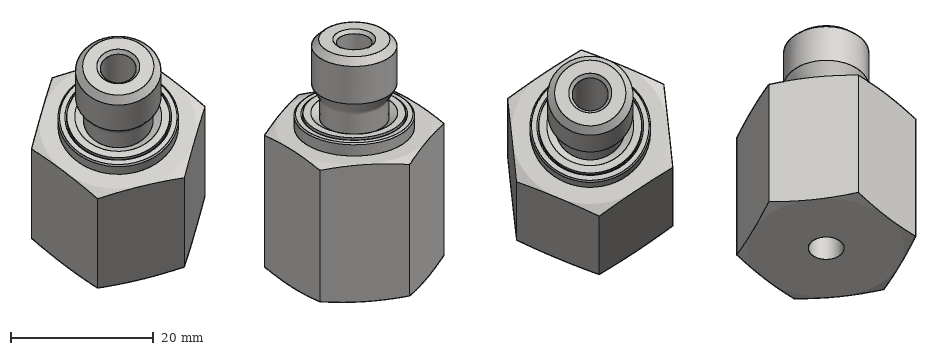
import cadquery as cq
import math

TOTAL_HEIGHT = 36.0
HEX_HEIGHT = 22.0
COLLAR_HEIGHT = 2.0
collar_top = HEX_HEIGHT + COLLAR_HEIGHT

HEX_FLATS = 22.0
HEX_CHAMFER_ANGLE = 15.0
hex_flat_radius = HEX_FLATS / 2
hex_corner_radius = hex_flat_radius / math.cos(math.radians(30))
hex_corner_drop = (hex_corner_radius - hex_flat_radius) * math.tan(math.radians(HEX_CHAMFER_ANGLE))

COLLAR_DIAMETER = 16.9
RECESS_DIAMETER = 14.5
COLLAR_CHAMFER = 0.2
collar_radius = COLLAR_DIAMETER / 2
recess_radius = RECESS_DIAMETER / 2
recess_floor = HEX_HEIGHT

HEAD_DIAMETER = 12.0
HEAD_CHAMFER = 1.0
HEAD_BOTTOM = 28.95
NECK_DIAMETER = 9.7
NECK_TOP = 26.6
UNDERCUT_DIAMETER = 10.08
UNDERCUT_TOP = 27.25
head_radius = HEAD_DIAMETER / 2
neck_radius = NECK_DIAMETER / 2
undercut_radius = UNDERCUT_DIAMETER / 2

BORE_DIAMETER = 5.0
BORE_CHAMFER = 0.5
bore_radius = BORE_DIAMETER / 2

SEAL_DIAMETER = 14.4
SEAL_BORE_DIAMETER = 9.8
SEAL_MOUTH_DIAMETER = 12.15
SEAL_PROUD = 0.2
SEAL_CONE_DEPTH = 0.75
seal_radius = SEAL_DIAMETER / 2
seal_bore_radius = SEAL_BORE_DIAMETER / 2
seal_mouth_radius = SEAL_MOUTH_DIAMETER / 2
seal_top = collar_top + SEAL_PROUD
seal_cone_bottom = seal_top - SEAL_CONE_DEPTH


def revolve_profile(profile):
    """Turn a closed (radius, height) profile about the Z axis."""
    return profile.close().revolve(360, (0, 0, 0), (0, 1, 0))


def make_hex_base():
    """Hexagonal prism with conical chamfers on the corners of both ends."""
    prism = (
        cq.Workplane("XY")
        .polygon(6, 2 * hex_corner_radius)
        .extrude(HEX_HEIGHT)
        .rotate((0, 0, 0), (0, 0, 1), 30)
    )
    corner_envelope = revolve_profile(
        cq.Workplane("XZ")
        .moveTo(0, 0)
        .lineTo(hex_flat_radius, 0)
        .lineTo(hex_corner_radius, hex_corner_drop)
        .lineTo(hex_corner_radius, HEX_HEIGHT - hex_corner_drop)
        .lineTo(hex_flat_radius, HEX_HEIGHT)
        .lineTo(0, HEX_HEIGHT)
    )
    return prism.intersect(corner_envelope)


def make_turned_end():
    """Collar, seal recess, neck, undercut and threaded head in one profile."""
    neck_fillet_end = (undercut_radius, UNDERCUT_TOP)
    return revolve_profile(
        cq.Workplane("XZ")
        .moveTo(0, 0)
        .lineTo(collar_radius, 0)
        .lineTo(collar_radius, collar_top - COLLAR_CHAMFER)
        .lineTo(collar_radius - COLLAR_CHAMFER, collar_top)
        .lineTo(recess_radius + COLLAR_CHAMFER, collar_top)
        .lineTo(recess_radius, collar_top - COLLAR_CHAMFER)
        .lineTo(recess_radius, recess_floor)
        .lineTo(neck_radius, recess_floor)
        .lineTo(neck_radius, NECK_TOP)
        .tangentArcPoint(neck_fillet_end, relative=False)
        .lineTo(head_radius, HEAD_BOTTOM)
        .lineTo(head_radius, TOTAL_HEIGHT - HEAD_CHAMFER)
        .lineTo(head_radius - HEAD_CHAMFER, TOTAL_HEIGHT)
        .lineTo(0, TOTAL_HEIGHT)
    )


def make_bore():
    """Through bore with a chamfered mouth at the top."""
    return revolve_profile(
        cq.Workplane("XZ")
        .moveTo(0, 0)
        .lineTo(bore_radius, 0)
        .lineTo(bore_radius, TOTAL_HEIGHT - BORE_CHAMFER)
        .lineTo(bore_radius + BORE_CHAMFER, TOTAL_HEIGHT)
        .lineTo(0, TOTAL_HEIGHT)
    )


def make_housing():
    """Fitting body: hexagonal base, turned end and through bore."""
    return make_hex_base().union(make_turned_end()).cut(make_bore())


def make_seal_ring():
    """Ring seated in the recess, standing proud, with a conical mouth."""
    return revolve_profile(
        cq.Workplane("XZ")
        .moveTo(seal_bore_radius, recess_floor)
        .lineTo(seal_radius, recess_floor)
        .lineTo(seal_radius, seal_top)
        .lineTo(seal_mouth_radius, seal_top)
        .lineTo(seal_bore_radius, seal_cone_bottom)
    )


housing = make_housing()
seal_ring = make_seal_ring()

result = cq.Compound.makeCompound([housing.solids().val(), seal_ring.val()])